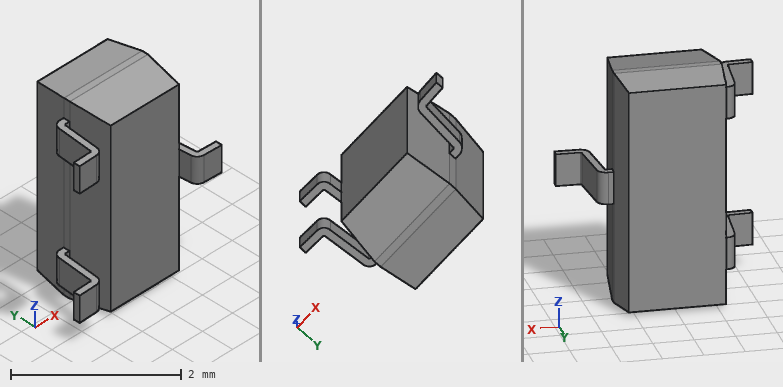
import cadquery as cq
import math

HOUSING_WIDTH = 1.3
HOUSING_HEIGHT = 2.9
BAND_DEPTH = 0.1
FRONT_DEPTH = 0.6
REAR_DEPTH = 0.502
FRONT_INSET = 0.08
REAR_INSET = 0.065

OVERALL_WIDTH = 2.37
STANDOFF = 0.1
LEAD_THICKNESS = BAND_DEPTH
LEAD_WIDTH = 0.403
LEAD_OFFSET_Z = 0.95
INNER_BEND_RADIUS = 0.017
LEG_ANGLE = -85.0
FOOT_ANGLE = -2.0
FOOT_LENGTH = 0.287


def tapered_block(start_y, depth, inset, direction):
    """Loft from the full band outline to a smaller outline, along +Y or -Y."""
    near_plane = cq.Plane(origin=(0, start_y, 0), xDir=(1, 0, 0), normal=(0, direction, 0))
    return (
        cq.Workplane(near_plane)
        .rect(HOUSING_WIDTH, HOUSING_HEIGHT)
        .workplane(offset=depth)
        .rect(HOUSING_WIDTH - 2 * inset, HOUSING_HEIGHT - 2 * inset)
        .loft(ruled=True)
    )


def make_housing():
    """One moulded solid centred on the band."""
    band = cq.Workplane("XY").box(HOUSING_WIDTH, BAND_DEPTH, HOUSING_HEIGHT)
    front = tapered_block(-BAND_DEPTH / 2, FRONT_DEPTH, FRONT_INSET, -1)
    rear = tapered_block(BAND_DEPTH / 2, REAR_DEPTH, REAR_INSET, 1)
    return band.union(front).union(rear)


def bend_step(radius, start_angle, end_angle):
    """Displacement along an arc that turns from one heading to another."""
    turn = math.copysign(1, end_angle - start_angle)
    start = math.radians(start_angle)
    end = math.radians(end_angle)
    step_x = turn * radius * (math.sin(end) - math.sin(start))
    step_y = turn * radius * (math.cos(start) - math.cos(end))
    return step_x, step_y


def make_right_lead():
    """Gull-wing lead on the +X side, at mid-height."""
    half_thickness = LEAD_THICKNESS / 2
    leg = math.radians(LEG_ANGLE)
    foot = math.radians(FOOT_ANGLE)
    root_x = HOUSING_WIDTH / 2

    tip_x = OVERALL_WIDTH / 2 + half_thickness * math.sin(foot)
    tip_y = -BAND_DEPTH / 2 - FRONT_DEPTH - STANDOFF + half_thickness * math.cos(foot)

    bend_radius = INNER_BEND_RADIUS + half_thickness
    upper_bend = bend_step(bend_radius, 0, LEG_ANGLE)
    lower_bend = bend_step(bend_radius, LEG_ANGLE, FOOT_ANGLE)
    leg_drop = tip_y - upper_bend[1] - lower_bend[1] - FOOT_LENGTH * math.sin(foot)
    leg_length = leg_drop / math.sin(leg)
    leg_reach = leg_length * math.cos(leg)
    foot_reach = FOOT_LENGTH * math.cos(foot)
    shoulder_length = tip_x - root_x - upper_bend[0] - leg_reach - lower_bend[0] - foot_reach

    centre_line = (
        cq.Workplane("XY")
        .moveTo(root_x, 0)
        .line(shoulder_length, 0)
        .tangentArcPoint(upper_bend)
        .polarLine(leg_length, LEG_ANGLE)
        .tangentArcPoint(lower_bend)
        .polarLine(FOOT_LENGTH, FOOT_ANGLE)
    )
    return (
        cq.Workplane("YZ", origin=(root_x, 0, 0))
        .rect(LEAD_THICKNESS, LEAD_WIDTH)
        .sweep(centre_line)
    )


housing = make_housing()
right_lead = make_right_lead()
left_lead = right_lead.mirror("YZ")

leads = [right_lead]
for lead_z in (-LEAD_OFFSET_Z, LEAD_OFFSET_Z):
    leads.append(left_lead.translate((0, 0, lead_z)))

result = cq.Compound.makeCompound([housing.val(), *[lead.val() for lead in leads]])